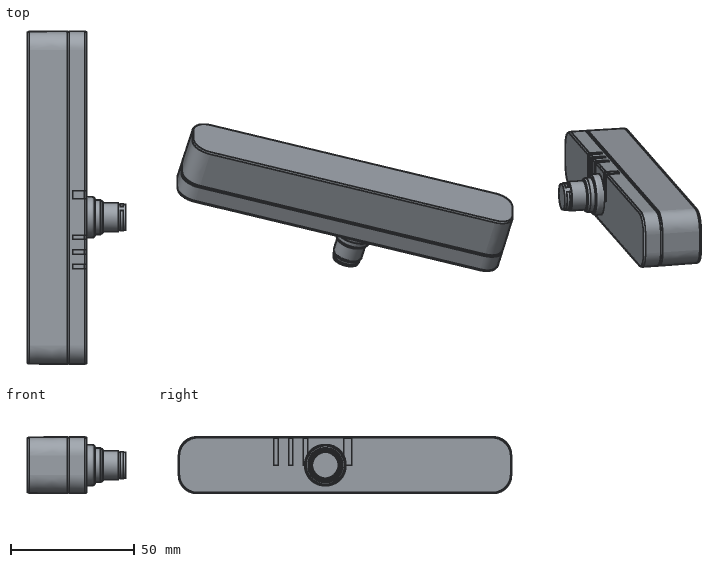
import cadquery as cq
import math

housing_length = 135.0
housing_height = 23.0
housing_depth = 24.2
corner_radius = 7.5

bevel_depth = 0.8
bevel_inset = 0.4

cover_draft_inset = 0.11

groove_start = 16.2
groove_width = 0.8
groove_depth = 0.3

window_start = 18.5
window_recess = 0.2
wide_window_y = 1.1
wide_window_width = 3.2
first_narrow_window_y = -16.0
narrow_window_width = 1.8
narrow_window_pitch = 6.0
narrow_window_count = 3

connector_y = -8.0
connector_end = 40.0
flange_radius = 8.4
flange_straight_end = 26.0
flange_shoulder_x = 27.3
flange_shoulder_radius = 7.8
collar_radius = 7.0
collar_start = 27.7
collar_end = 29.5
collar_bevel_end = 30.5
collar_bevel_radius = 6.5
barrel_start = 30.9
barrel_radius = 6.0
barrel_end = 37.0
ring_start = 37.8
ring_end = 39.0
ring_radius = 5.5
tip_radius = 5.3

notch_angle = 42
notch_width = 2.2


def slab(x_start, depth, inset=0.0, end_inset=0.0):
    """Rounded rectangle, extruded along X by a signed depth, narrowing by end_inset."""
    length = housing_length - 2 * inset
    height = housing_height - 2 * inset
    outline = cq.Sketch().rect(length, height).vertices().fillet(corner_radius - inset)
    taper = math.degrees(math.atan2(end_inset, abs(depth)))
    return cq.Workplane("YZ", origin=(x_start, 0, 0)).placeSketch(outline).extrude(depth, taper=taper)


def make_housing():
    groove_end = groove_start + groove_width
    base_bevel_start = housing_depth - bevel_depth
    cover = slab(groove_start, bevel_depth - groove_start, end_inset=cover_draft_inset)
    cover_bevel = slab(bevel_depth, -bevel_depth, cover_draft_inset, bevel_inset)
    groove_floor = slab(groove_start, groove_width, groove_depth)
    base = slab(groove_end, base_bevel_start - groove_end)
    base_bevel = slab(base_bevel_start, bevel_depth, end_inset=bevel_inset)
    return cover.union(cover_bevel).union(groove_floor).union(base).union(base_bevel)


def cut_windows(housing):
    """Sink every window by the same recess below the top, the bevel and the end face."""
    recessed_housing = housing.translate((-window_recess, 0, -window_recess))
    windows = [(wide_window_y, wide_window_width)]
    for index in range(narrow_window_count):
        windows.append((first_narrow_window_y - index * narrow_window_pitch, narrow_window_width))
    window_length = housing_depth - window_start
    for window_y, window_width in windows:
        strip = cq.Workplane("XY", origin=(window_start, window_y, 0)).box(
            window_length, window_width, housing_height / 2, centered=(False, True, False)
        )
        housing = housing.cut(strip.cut(recessed_housing))
    return housing


def make_connector():
    """Profile of radius against X, revolved about the connector axis."""
    body = (
        cq.Workplane("XY")
        .moveTo(housing_depth - bevel_depth, 0)
        .lineTo(housing_depth - bevel_depth, flange_radius)
        .lineTo(flange_straight_end, flange_radius)
        .tangentArcPoint((flange_shoulder_x, flange_shoulder_radius), relative=False)
        .lineTo(collar_start, collar_radius)
        .lineTo(collar_end, collar_radius)
        .lineTo(collar_bevel_end, collar_bevel_radius)
        .lineTo(barrel_start, barrel_radius)
        .lineTo(barrel_end, barrel_radius)
        .lineTo(barrel_end, tip_radius)
        .lineTo(ring_start, tip_radius)
        .lineTo(ring_start, ring_radius)
        .lineTo(ring_end, ring_radius)
        .lineTo(ring_end, tip_radius)
        .lineTo(connector_end, tip_radius)
        .lineTo(connector_end, 0)
        .close()
        .revolve(360, (0, 0, 0), (1, 0, 0))
    )
    core = cq.Workplane("YZ").circle(tip_radius).extrude(connector_end)
    notch = (
        cq.Workplane("XY", origin=(ring_start, 0, 0))
        .box(ring_end - ring_start, notch_width, ring_radius, centered=(False, True, False))
        .rotate((0, 0, 0), (1, 0, 0), -notch_angle)
        .cut(core)
    )
    return body.cut(notch).translate((0, connector_y, 0))


result = cut_windows(make_housing()).union(make_connector())